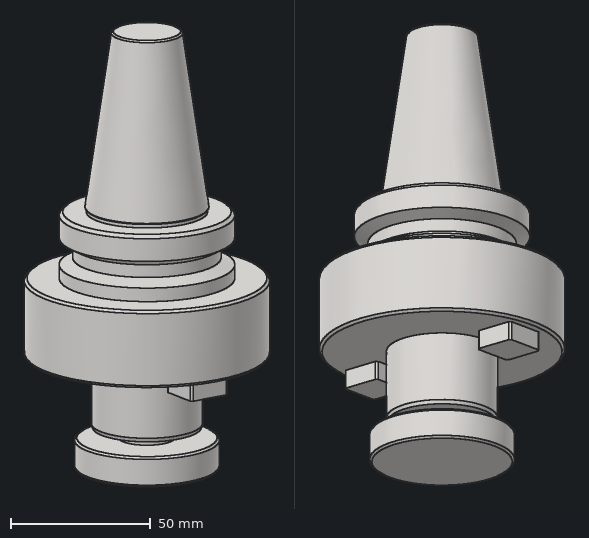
import cadquery as cq

total_height = 162.4

screw_head_radius = 26.0
screw_head_height = 11.2
screw_head_chamfer = 0.8
screw_neck_radius = 10.0

arbor_radius = 20.0
arbor_bottom = 15.1
arbor_chamfer_width = 0.5
arbor_chamfer_height = 1.5

body_radius = 44.0
body_bottom = 41.9
body_height = 28.7
body_chamfer = 1.0
body_top = body_bottom + body_height

flange_radius = 31.5
flange_top = 95.3
flange_chamfer = 1.3
groove_radius = 26.6
groove_floor_bottom = 78.3
groove_floor_height = 4.7
groove_flank_height = 2.6
groove_floor_top = groove_floor_bottom + groove_floor_height

taper_ratio = 7 / 24
taper_base = 97.1
taper_base_radius = 22.2
taper_tip_radius = taper_base_radius - taper_ratio / 2 * (total_height - taper_base)
taper_tip_chamfer = 0.6
relief_radius = 21.8
relief_cone_height = 0.5

key_inner_x = 24.0
key_length = 15.8
key_width = 16.0
key_height = 6.8
key_chamfer = 0.8


def make_disc(radius, bottom, height):
    return cq.Workplane("XY").workplane(offset=bottom).circle(radius).extrude(height)


def make_screw():
    head = make_disc(screw_head_radius, 0, screw_head_height)
    head = head.faces("<Z or >Z").edges().chamfer(screw_head_chamfer)
    neck = make_disc(screw_neck_radius, 0, arbor_bottom)
    return head.union(neck)


def make_arbor():
    arbor = make_disc(arbor_radius, arbor_bottom, body_bottom - arbor_bottom)
    return arbor.faces("<Z").chamfer(arbor_chamfer_height, arbor_chamfer_width)


def make_body():
    body = make_disc(body_radius, body_bottom, body_height)
    return body.faces("<Z or >Z").edges().chamfer(body_chamfer)


def make_flange():
    profile = [
        (0, body_top),
        (flange_radius, body_top),
        (flange_radius, groove_floor_bottom - groove_flank_height),
        (groove_radius, groove_floor_bottom),
        (groove_radius, groove_floor_top),
        (flange_radius, groove_floor_top + groove_flank_height),
        (flange_radius, flange_top - flange_chamfer),
        (flange_radius - flange_chamfer, flange_top),
        (0, flange_top),
    ]
    return cq.Workplane("XZ").polyline(profile).close().revolve(360, (0, 0), (0, 1))


def make_taper():
    profile = [
        (0, flange_top),
        (relief_radius, flange_top),
        (relief_radius, taper_base - relief_cone_height),
        (taper_base_radius, taper_base),
        (taper_tip_radius, total_height),
        (0, total_height),
    ]
    taper = cq.Workplane("XZ").polyline(profile).close().revolve(360, (0, 0), (0, 1))
    return taper.faces(">Z").chamfer(taper_tip_chamfer)


def make_key(side):
    center_x = side * (key_inner_x + key_length / 2)
    key = cq.Workplane("XY").box(key_length, key_width, key_height, centered=(True, True, False))
    key = key.edges("|Z").chamfer(key_chamfer)
    return key.translate((center_x, 0, body_bottom - key_height))


result = make_screw().union(make_arbor()).union(make_body())
result = result.union(make_flange()).union(make_taper())
for side in (-1, 1):
    result = result.union(make_key(side))